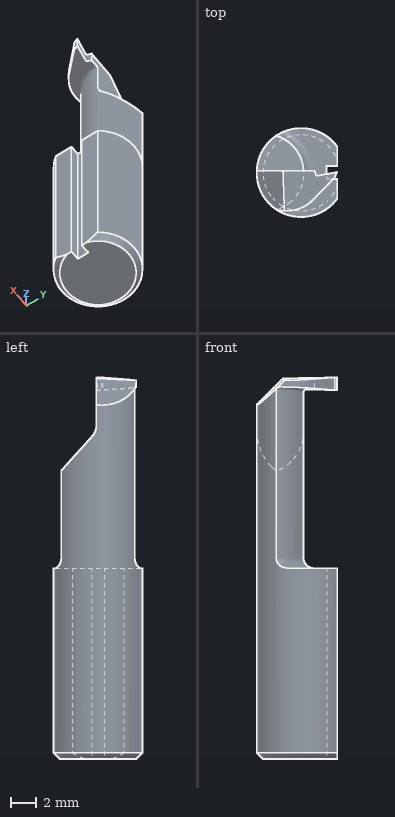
import cadquery as cq
import math

total_length = 30.0
shank_radius = 3.5
shank_length = 15.0
flat_x = 2.85
end_chamfer = 0.5
groove_bottom_x = 2.0
groove_width = 1.0

neck_right_x = 0.2
neck_radius = 3.02
neck_center_x = neck_right_x - neck_radius
shoulder_fillet = 0.8
head_fillet = 0.2

neck_corner_x = (neck_radius**2 - shank_radius**2 - neck_center_x**2) / (-2 * neck_center_x)
neck_corner_y = -math.sqrt(shank_radius**2 - neck_corner_x**2)

rake_y = 0.14
tip_x = 2.82
tip_y = 0.05
tip_width = 1.05
tip_relief_x = 2.66
tip_relief_y = -0.36
back_arc_end_x = 0.97
back_arc_end_y = -2.1
back_arc_mid_x = -0.35
back_arc_mid_y = -2.9
side_clearance = math.tan(math.radians(3))
side_taper = math.tan(math.radians(1.5))

bevel_start_z = 27.82
bevel_clearance = math.tan(math.radians(5))

breaker_start_x = 1.05
breaker_low_x = 1.2
breaker_low_y = -0.27
breaker_fillet = 0.15

ramp_end_z = 22.6
ramp_end_y = 2.94
ramp_angle = 48.0
ramp_fillet = 1.3

oversize = 20.0


def block_above(point, slope_x, slope_y):
    """Large block above the plane through point that rises by the given slopes along X and Y."""
    plane = cq.Plane(origin=point, xDir=(1, 0, slope_x), normal=(-slope_x, -slope_y, 1))
    return cq.Workplane(plane).rect(2 * oversize, 2 * oversize).extrude(oversize)


def make_shank():
    """Chamfered round bar with its flat and its groove."""
    shank = cq.Workplane("XY").circle(shank_radius).extrude(shank_length)
    shank = shank.faces("<Z").chamfer(end_chamfer)
    beyond_flat = cq.Workplane("XY").box(oversize, oversize, total_length, centered=(False, True, False))
    shank = shank.cut(beyond_flat.translate((flat_x, 0, 0)))
    groove = cq.Workplane("XY").box(oversize, groove_width, shank_length, centered=(False, True, False))
    return shank.cut(groove.translate((groove_bottom_x, 0, 0)))


def make_neck():
    """Lens-shaped neck whose foot flares into the shank with a fillet."""
    foot_radius = neck_radius + shoulder_fillet
    diagonal = shoulder_fillet * (1 - math.sqrt(0.5))
    profile = (
        cq.Workplane("XZ", origin=(neck_center_x, 0, 0))
        .moveTo(0, shank_length)
        .lineTo(foot_radius, shank_length)
        .threePointArc(
            (neck_radius + diagonal, shank_length + diagonal),
            (neck_radius, shank_length + shoulder_fillet),
        )
        .lineTo(neck_radius, total_length)
        .lineTo(0, total_length)
        .close()
    )
    flared = profile.revolve(360, (0, 0, 0), (0, 1, 0))
    bar = cq.Workplane("XY").circle(shank_radius).extrude(total_length)
    return flared.intersect(bar)


def make_flared_plate():
    """Plate with the head's sloping underside, on a round post with a filleted inside corner."""
    underside_point = (tip_x, tip_y, total_length - tip_width)
    plate = block_above(underside_point, -side_taper, -side_clearance)
    post = cq.Workplane("XY", origin=(neck_center_x, 0, shank_length)).circle(neck_radius)
    flared_plate = plate.union(post.extrude(total_length - shank_length))
    return flared_plate.edges("%ELLIPSE").fillet(head_fillet)


def make_head():
    """Hooked cutting head, tapering in height away from the tip."""
    outline = (
        cq.Workplane("XY", origin=(0, 0, shank_length))
        .moveTo(neck_corner_x, rake_y)
        .lineTo(breaker_start_x, rake_y)
        .lineTo(breaker_low_x, breaker_low_y)
        .lineTo(tip_x, tip_y)
        .lineTo(tip_relief_x, tip_relief_y)
        .lineTo(back_arc_end_x, back_arc_end_y)
        .threePointArc((back_arc_mid_x, back_arc_mid_y), (neck_corner_x, neck_corner_y))
        .close()
    )
    head = outline.extrude(total_length - shank_length)
    low_point = (breaker_low_x, breaker_low_y, total_length)
    head = head.edges("|Z").edges(cq.selectors.NearestToPointSelector(low_point)).fillet(breaker_fillet)
    return head.intersect(make_flared_plate())


def cut_top(body):
    """Trim the sloping top face and the corner bevel."""
    body = body.cut(block_above((tip_x, tip_y, total_length), side_taper, side_clearance))
    return body.cut(block_above((-shank_radius, rake_y, bevel_start_z), 1, bevel_clearance))


def cut_rake_and_ramp(body):
    """Remove the +Y part of the neck and head down to the rake face and its ramp."""
    ramp_slope = math.tan(math.radians(ramp_angle))
    ramp_top_z = ramp_end_z + (ramp_end_y - rake_y) * ramp_slope
    outer_y = 2 * shank_radius
    outer_z = ramp_end_z - (outer_y - ramp_end_y) * ramp_slope
    cutter_top_z = total_length + oversize
    cutter = (
        cq.Workplane("YZ", origin=(-oversize / 2, 0, 0))
        .moveTo(rake_y, ramp_top_z)
        .lineTo(outer_y, outer_z)
        .lineTo(outer_y, cutter_top_z)
        .lineTo(rake_y, cutter_top_z)
        .close()
        .extrude(oversize)
    )
    ramp_corner = cq.selectors.NearestToPointSelector((0, rake_y, ramp_top_z))
    rounded_cutter = cutter.edges("|X").edges(ramp_corner).fillet(ramp_fillet)
    return body.cut(rounded_cutter)


upper = cut_rake_and_ramp(make_neck().union(make_head()))
result = cut_top(upper).union(make_shank())